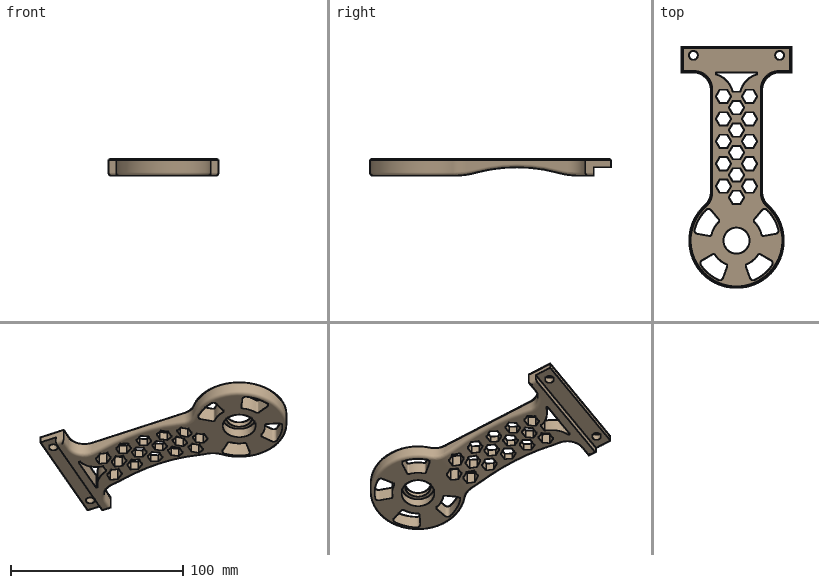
import cadquery as cq
import math

LENGTH = 140.0
THICKNESS = 10.0
DISC_DIAMETER = 55.0
ARM_WIDTH = 30.0
HEAD_WIDTH = 64.0
HEAD_DEPTH = 15.0
CORNER_RADIUS = 10.0
TOP_CHAMFER = 1.0
BOTTOM_FILLET = 2.0

LEDGE_THICKNESS = 5.0
LEDGE_DEPTH = 10.0
SCREW_DIAMETER = 5.0
SCREW_SPACING = 50.0
SCREW_INSET = 5.0

ARCH_HEIGHT = 4.9
ARCH_RADIUS = 91.0
ARCH_BLEND_RADIUS = 50.0

BORE_DIAMETER = 15.0
SEAT_DIAMETER = 19.0
SEAT_DEPTH = 6.5

WINDOW_INNER_RADIUS = 15.0
WINDOW_OUTER_RADIUS = 25.0
WINDOW_SPAN = 40.0
WINDOW_PITCH = 80.0
WINDOW_COUNT = 4
WINDOW_OUTER_CORNER_RADIUS = 2.0
WINDOW_INNER_CORNER_RADIUS = 1.0

HEX_FLATS = 7.5
HEX_ROW_PITCH = 13.0
HEX_COLUMN_PITCH = 7.5
HEX_ROWS = 5
HEX_FIRST_INSET = 28.8

FLARE_LIP = 1.0
FLARE_RADIUS = 14.0

DISC_RADIUS = DISC_DIAMETER / 2
ARM_HALF = ARM_WIDTH / 2
HEAD_HALF = HEAD_WIDTH / 2
BACK_Y = LENGTH - DISC_RADIUS
HEAD_FRONT_Y = BACK_Y - HEAD_DEPTH
ARM_BACK_Y = HEAD_FRONT_Y - CORNER_RADIUS
CORNER_CENTER_X = ARM_HALF + CORNER_RADIUS
ARM_FRONT_Y = math.sqrt((DISC_RADIUS + CORNER_RADIUS) ** 2 - CORNER_CENTER_X ** 2)
HEX_DIAMETER = HEX_FLATS / math.cos(math.radians(30))
FIRST_HEX_Y = BACK_Y - HEX_FIRST_INSET


def outline():
    """Plan outline: head, arm and disc joined by round inside corners."""
    blend_share = DISC_RADIUS / (DISC_RADIUS + CORNER_RADIUS)
    disc_x = CORNER_CENTER_X * blend_share
    disc_y = ARM_FRONT_Y * blend_share
    return (
        cq.Workplane("XY")
        .moveTo(-HEAD_HALF, BACK_Y)
        .lineTo(HEAD_HALF, BACK_Y)
        .lineTo(HEAD_HALF, HEAD_FRONT_Y)
        .lineTo(CORNER_CENTER_X, HEAD_FRONT_Y)
        .radiusArc((ARM_HALF, ARM_BACK_Y), -CORNER_RADIUS)
        .lineTo(ARM_HALF, ARM_FRONT_Y)
        .radiusArc((disc_x, disc_y), -CORNER_RADIUS)
        .threePointArc((0, -DISC_RADIUS), (-disc_x, disc_y))
        .radiusArc((-ARM_HALF, ARM_FRONT_Y), -CORNER_RADIUS)
        .lineTo(-ARM_HALF, ARM_BACK_Y)
        .radiusArc((-CORNER_CENTER_X, HEAD_FRONT_Y), -CORNER_RADIUS)
        .lineTo(-HEAD_HALF, HEAD_FRONT_Y)
        .close()
    )


def arch():
    """Cutter under the arm: one large arc blended into the flat underside."""
    middle_y = (ARM_BACK_Y + ARM_FRONT_Y) / 2
    radius_sum = ARCH_RADIUS + ARCH_BLEND_RADIUS
    end_reach = math.sqrt(radius_sum ** 2 - (radius_sum - ARCH_HEIGHT) ** 2)
    join_reach = end_reach * ARCH_RADIUS / radius_sum
    join_z = ARCH_HEIGHT * ARCH_BLEND_RADIUS / radius_sum
    return (
        cq.Workplane("YZ")
        .moveTo(middle_y - end_reach, 0)
        .radiusArc((middle_y - join_reach, join_z), -ARCH_BLEND_RADIUS)
        .threePointArc((middle_y, ARCH_HEIGHT), (middle_y + join_reach, join_z))
        .radiusArc((middle_y + end_reach, 0), -ARCH_BLEND_RADIUS)
        .close()
        .extrude(HEAD_HALF, both=True)
    )


def is_lower_rim(edge):
    """True for the underside rim, except the straight edges that cross the part."""
    center = edge.Center()
    on_underside = edge.BoundingBox().zmax < THICKNESS - TOP_CHAMFER
    crosses_part = edge.geomType() == "LINE" and abs(center.x) < ARM_HALF
    return on_underside and not crosses_part


def blank():
    """Solid body with its arch, rounded lower rim, chamfered top rim and ledge."""
    body = outline().extrude(THICKNESS).cut(arch())
    body = body.edges().filter(is_lower_rim).fillet(BOTTOM_FILLET)
    body = body.faces(">Z").edges().chamfer(TOP_CHAMFER)
    ledge_gap = cq.Workplane("XY").box(
        HEAD_WIDTH, LEDGE_DEPTH, THICKNESS - LEDGE_THICKNESS, centered=(True, False, False)
    )
    return body.cut(ledge_gap.translate((0, BACK_Y - LEDGE_DEPTH, 0)))


def screw_holes():
    """One hole through the ledge at each end of the head."""
    places = [(side * SCREW_SPACING / 2, BACK_Y - SCREW_INSET) for side in (-1, 1)]
    return cq.Workplane("XY").pushPoints(places).circle(SCREW_DIAMETER / 2).extrude(THICKNESS)


def bearing_seat():
    """Through bore with a wider seat opening on the underside."""
    bore = cq.Workplane("XY").circle(BORE_DIAMETER / 2).extrude(THICKNESS)
    seat = cq.Workplane("XY").circle(SEAT_DIAMETER / 2).extrude(SEAT_DEPTH)
    return bore.union(seat)


def disc_window():
    """Ring sector centred on +X with rounded corners."""
    half_span = math.radians(WINDOW_SPAN / 2)
    across = math.cos(half_span)
    up = math.sin(half_span)
    inner = WINDOW_INNER_RADIUS
    outer = WINDOW_OUTER_RADIUS
    sector = (
        cq.Workplane("XY")
        .moveTo(inner * across, -inner * up)
        .lineTo(outer * across, -outer * up)
        .threePointArc((outer, 0), (outer * across, outer * up))
        .lineTo(inner * across, inner * up)
        .threePointArc((inner, 0), (inner * across, -inner * up))
        .close()
        .extrude(THICKNESS)
    )
    sector = sector.edges("|Z and <X").fillet(WINDOW_INNER_CORNER_RADIUS)
    return sector.edges("|Z and (>Y or <Y)").fillet(WINDOW_OUTER_CORNER_RADIUS)


def hexagons():
    """Two outer columns of hexagons and a middle column half a row further on."""
    places = []
    for row in range(HEX_ROWS):
        y = FIRST_HEX_Y - row * HEX_ROW_PITCH
        places += [(-HEX_COLUMN_PITCH, y), (HEX_COLUMN_PITCH, y), (0, y - HEX_ROW_PITCH / 2)]
    return cq.Workplane("XY").pushPoints(places).polygon(6, HEX_DIAMETER).extrude(THICKNESS)


def flared_window():
    """Window that narrows from the head to the width of one hexagon side."""
    wide_half = HEX_COLUMN_PITCH + HEX_DIAMETER / 2
    narrow_half = HEX_DIAMETER / 4
    narrow_y = FIRST_HEX_Y + HEX_ROW_PITCH / 2 - HEX_FLATS / 2
    lip_y = HEAD_FRONT_Y - FLARE_LIP
    return (
        cq.Workplane("XY")
        .moveTo(-wide_half, HEAD_FRONT_Y)
        .lineTo(wide_half, HEAD_FRONT_Y)
        .lineTo(wide_half, lip_y)
        .radiusArc((narrow_half, narrow_y), -FLARE_RADIUS)
        .lineTo(-narrow_half, narrow_y)
        .radiusArc((-wide_half, lip_y), -FLARE_RADIUS)
        .close()
        .extrude(THICKNESS)
    )


result = blank().cut(screw_holes()).cut(bearing_seat()).cut(hexagons()).cut(flared_window())

first_angle = -90 - WINDOW_PITCH * (WINDOW_COUNT - 1) / 2
for index in range(WINDOW_COUNT):
    angle = first_angle + index * WINDOW_PITCH
    result = result.cut(disc_window().rotate((0, 0, 0), (0, 0, 1), angle))